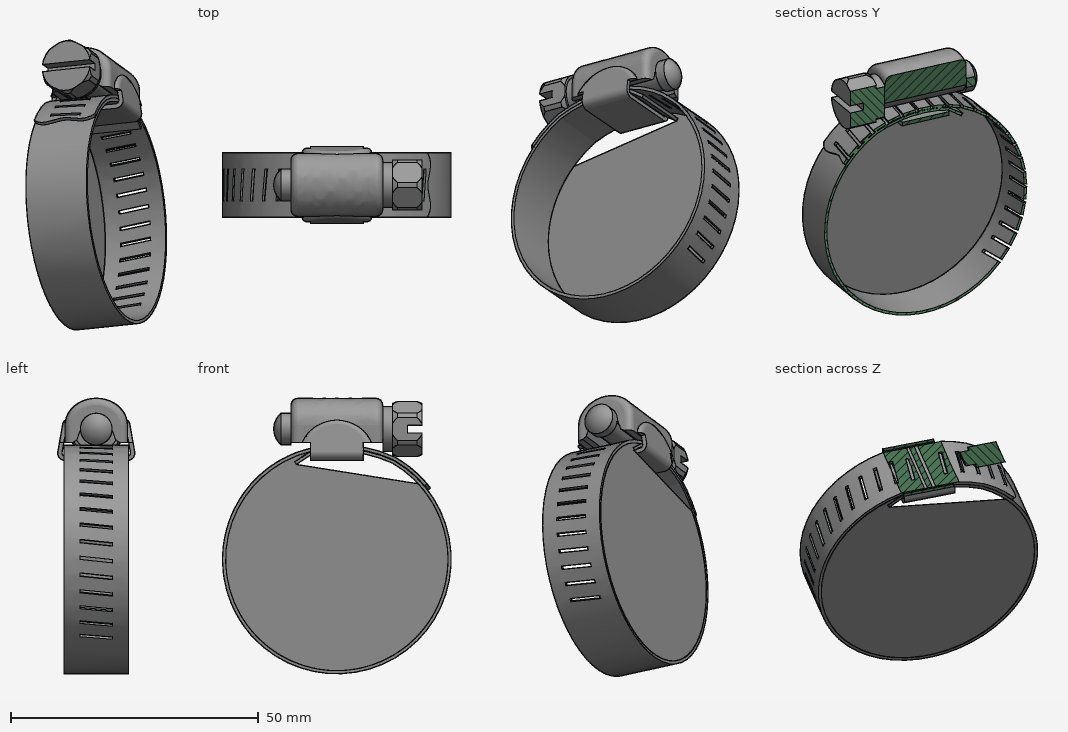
import cadquery as cq
import math


overall_height = 55.66
overall_width = 15.63

band_radius = 23.095
strip_thickness = 0.65
strip_width = 13.05
lap_gap = 0.03
lap_start_angle = 60.0
lap_end_angle = 103.8
outer_end_angle = 36.5
tail_tip = (-8.5, 19.75)

slot_pitch = 8.5
slot_first_angle = 222.5
slot_count = 22
slot_last_on_ring = 13
slot_lap_pitch = 8.72
slot_length = 6.5
slot_width = 0.66
slot_tilt = 6.0

end_wave_angle = 38.6
end_wave_peak = 0.54
end_wave_middle = -0.33
end_wave_side = -0.58
end_wave_peak_y = 4.2

web_thickness = 0.05
web_recess = 0.05
web_chord_angle = 43.0

worm_axis_z = 26.33
worm_tail_radius = 3.2
worm_core_radius = 2.7
worm_tail_x = -11.26
dome_height = 1.5
collar_radius = 4.56
collar_x = 9.28
head_x = 11.2
head_end_x = 17.22
head_across_flats = 10.15
head_corner_radius = 5.585
head_chamfer_length = 1.0
head_chamfer_depth = 0.42
driver_slot_width = 1.5
driver_slot_depth = 2.95

housing_length = 2 * collar_x
housing_half_width = 6.32
housing_bottom_z = 23.57
housing_spring_z = 27.08
housing_top_z = overall_height - band_radius
housing_end_fillet = 1.4
opening_top_half = 3.3
opening_top_z = 25.9
opening_mid_half = 3.95
opening_mid_z = 24.1
opening_bottom_half = 4.76

saddle_half_width = overall_width / 2
saddle_thickness = 0.92
saddle_bottom_z = 19.94
saddle_corner_radius = 1.6
saddle_top_z = 29.0
saddle_lean = 0.175
saddle_leg_half = 5.34
saddle_arch_half = 7.02
saddle_arch_top_z = 28.23
saddle_edge_fillet = 1.05


def polar(radius, angle):
    """Point in the XZ plane at an angle from +X."""
    a = math.radians(angle)
    return (radius * math.cos(a), radius * math.sin(a))


def lap_points(depth):
    """Right, top and left points of a lap surface that lies `depth` below the outer skin."""
    lifted_radius = band_radius + strip_thickness + lap_gap
    right = polar(lifted_radius - depth, lap_start_angle)
    top = (0, band_radius - depth)
    left = polar(band_radius - depth, lap_end_angle)
    return right, top, left


def xz_extrusion(sketch, width):
    """Extrude an XZ sketch symmetrically along Y."""
    return sketch.extrude(width / 2, both=True)


def tail_lower_corner():
    """Lower corner of the square-cut inner free end, as (x, z)."""
    lap_left = lap_points(strip_thickness + lap_gap)[2]
    tail_dx = tail_tip[0] - lap_left[0]
    tail_dz = tail_tip[1] - lap_left[1]
    tail_length = math.hypot(tail_dx, tail_dz)
    return (
        tail_tip[0] - strip_thickness * tail_dz / tail_length,
        tail_tip[1] + strip_thickness * tail_dx / tail_length,
    )


def make_strip():
    inner_radius = band_radius - strip_thickness
    lifted_inner = band_radius + lap_gap
    lifted_outer = lifted_inner + strip_thickness
    end_mid_angle = (outer_end_angle + lap_start_angle) / 2

    skin_right, skin_top, skin_left = lap_points(0)
    under_right, under_top, under_left = lap_points(strip_thickness)
    lap_right, lap_top, lap_left = lap_points(strip_thickness + lap_gap)
    base_right, base_top, base_left = lap_points(2 * strip_thickness + lap_gap)

    tail_lower = tail_lower_corner()

    outline = (
        cq.Workplane("XZ")
        .moveTo(*polar(lifted_outer, outer_end_angle))
        .threePointArc(polar(lifted_outer, end_mid_angle), skin_right)
        .threePointArc(skin_top, skin_left)
        .threePointArc((0, -band_radius), lap_right)
        .threePointArc(lap_top, lap_left)
        .lineTo(*tail_tip)
        .lineTo(*tail_lower)
        .lineTo(*base_left)
        .threePointArc(base_top, base_right)
        .threePointArc((0, -inner_radius), under_left)
        .threePointArc(under_top, under_right)
        .threePointArc(polar(lifted_inner, end_mid_angle), polar(lifted_inner, outer_end_angle))
        .close()
    )
    return xz_extrusion(outline, strip_width)


def radial_plane(radius, angle):
    """Plane whose normal points outward; local x runs clockwise, local y along +Y."""
    x, z = polar(radius, angle)
    a = math.radians(angle)
    return cq.Plane(
        origin=(x, 0, z),
        xDir=(math.sin(a), 0, -math.cos(a)),
        normal=(math.cos(a), 0, math.sin(a)),
    )


def make_slot_cutter(index):
    """Tilted slot through one strip layer, tall enough for the outer layer only."""
    ring_steps = min(index, slot_last_on_ring)
    lap_steps = index - ring_steps
    angle = slot_first_angle - ring_steps * slot_pitch - lap_steps * slot_lap_pitch
    lap_span = 90 - lap_start_angle
    rise = min(1, max(0, (90 - angle) / lap_span)) * (strip_thickness + lap_gap)
    floor_radius = band_radius + rise - strip_thickness - lap_gap / 2
    half = slot_length / 2
    shift = half * math.tan(math.radians(slot_tilt))
    w = slot_width / 2
    return (
        cq.Workplane(radial_plane(floor_radius, angle))
        .polyline([(-shift - w, -half), (-shift + w, -half), (shift + w, half), (shift - w, half)])
        .close()
        .extrude(2 * strip_thickness)
    )


def make_end_trimmer():
    """Removes the outer layer beyond its wavy free edge."""
    side_y = strip_width / 2
    beyond = 3.0
    return (
        cq.Workplane(radial_plane(band_radius, end_wave_angle))
        .moveTo(beyond, -side_y)
        .lineTo(end_wave_side, -side_y)
        .spline(
            [
                (end_wave_peak, -end_wave_peak_y),
                (end_wave_middle, 0),
                (end_wave_peak, end_wave_peak_y),
                (end_wave_side, side_y),
            ],
            includeCurrent=True,
        )
        .lineTo(beyond, side_y)
        .close()
        .extrude(2 * strip_thickness)
        .cut(cq.Workplane("XZ").circle(band_radius + lap_gap / 2).extrude(strip_width, both=True))
    )


def make_web():
    inner_radius = band_radius - strip_thickness
    web_back_y = -strip_width / 2 + web_recess + web_thickness
    outline = (
        cq.Workplane("XZ", origin=(0, web_back_y, 0))
        .moveTo(*polar(inner_radius, web_chord_angle))
        .lineTo(*tail_lower_corner())
        .lineTo(*tail_tip)
        .lineTo(*polar(inner_radius, lap_end_angle))
        .threePointArc((0, -inner_radius), polar(inner_radius, web_chord_angle))
        .close()
    )
    return outline.extrude(web_thickness)


def make_band():
    band = make_strip().cut(make_end_trimmer())
    for index in range(slot_count):
        band = band.cut(make_slot_cutter(index))
    return band.union(make_web())


def x_cylinder(radius, x_start, x_end):
    return (
        cq.Workplane("YZ", origin=(x_start, 0, worm_axis_z))
        .circle(radius)
        .extrude(x_end - x_start)
    )


def make_head():
    length = head_end_x - head_x
    hex_prism = (
        cq.Workplane("YZ", origin=(head_x, 0, worm_axis_z))
        .transformed(rotate=(0, 0, 90))
        .polygon(6, head_across_flats / math.cos(math.pi / 6))
        .extrude(length)
    )
    turned = x_cylinder(head_corner_radius, head_x, head_end_x)
    turned = turned.faces("<X or >X").chamfer(head_chamfer_length, head_chamfer_depth)
    driver_slot = cq.Workplane("XY", origin=(head_end_x, 0, worm_axis_z)).box(
        2 * driver_slot_depth, 2 * head_across_flats, driver_slot_width
    )
    return hex_prism.intersect(turned).cut(driver_slot)


def make_dome():
    half_profile = (
        cq.Workplane("XZ")
        .moveTo(worm_tail_x, worm_axis_z)
        .lineTo(worm_tail_x, worm_axis_z + worm_tail_radius)
    )
    sphere_radius = (worm_tail_radius**2 + dome_height**2) / (2 * dome_height)
    half_angle = math.asin(worm_tail_radius / sphere_radius) / 2
    centre_x = worm_tail_x - dome_height + sphere_radius
    middle = (
        centre_x - sphere_radius * math.cos(half_angle),
        worm_axis_z + sphere_radius * math.sin(half_angle),
    )
    return (
        half_profile.threePointArc(middle, (worm_tail_x - dome_height, worm_axis_z))
        .close()
        .revolve(360, (0, worm_axis_z, 0), (1, worm_axis_z, 0))
    )


def make_worm():
    tail = x_cylinder(worm_tail_radius, worm_tail_x, -collar_x)
    core = x_cylinder(worm_core_radius, -collar_x, collar_x)
    collar = x_cylinder(collar_radius, collar_x, head_x)
    return core.union(tail).union(make_dome()).union(collar).union(make_head())


def make_housing_shell():
    """Arched block with rounded ends and a worm bore that opens downward."""
    block = (
        cq.Workplane("YZ", origin=(-housing_length / 2, 0, 0))
        .moveTo(-housing_half_width, housing_bottom_z)
        .lineTo(housing_half_width, housing_bottom_z)
        .lineTo(housing_half_width, housing_spring_z)
        .ellipseArc(
            housing_half_width, housing_top_z - housing_spring_z, 0, 180, startAtCurrent=True
        )
        .close()
        .extrude(housing_length)
    )
    block = block.faces("<X or >X").edges("not(<Z)").fillet(housing_end_fillet)
    opening = (
        cq.Workplane("YZ")
        .polyline(
            [
                (-opening_top_half, opening_top_z),
                (-opening_mid_half, opening_mid_z),
                (-opening_bottom_half, housing_bottom_z),
                (opening_bottom_half, housing_bottom_z),
                (opening_mid_half, opening_mid_z),
                (opening_top_half, opening_top_z),
            ]
        )
        .close()
        .extrude(housing_length, both=True)
    )
    bore = x_cylinder(worm_core_radius, -housing_length, housing_length)
    return block.cut(opening).cut(bore)


def saddle_section(inset):
    """Solid cup with rounded lower corners and sides leaning inward, inset from the outer skin."""
    radius = saddle_corner_radius - inset
    half_width = saddle_half_width - inset
    bottom_z = saddle_bottom_z + inset
    corner_z = bottom_z + radius
    flat_half = half_width - radius
    top_half = half_width - saddle_lean * (saddle_top_z - corner_z)
    return (
        cq.Workplane("YZ", origin=(-housing_length / 2, 0, 0))
        .moveTo(-flat_half, bottom_z)
        .lineTo(flat_half, bottom_z)
        .radiusArc((half_width, corner_z), -radius)
        .lineTo(top_half, saddle_top_z)
        .lineTo(-top_half, saddle_top_z)
        .lineTo(-half_width, corner_z)
        .radiusArc((-flat_half, bottom_z), -radius)
        .close()
        .extrude(housing_length)
    )


def make_saddle():
    """U strap under the band whose sides end in arches against the housing."""
    strap = saddle_section(0).cut(saddle_section(saddle_thickness))
    outline = (
        cq.Workplane("XZ")
        .moveTo(-saddle_leg_half, saddle_bottom_z)
        .lineTo(saddle_leg_half, saddle_bottom_z)
        .lineTo(saddle_leg_half, housing_bottom_z)
        .lineTo(saddle_arch_half, housing_bottom_z)
        .threePointArc((0, saddle_arch_top_z), (-saddle_arch_half, housing_bottom_z))
        .lineTo(-saddle_leg_half, housing_bottom_z)
        .close()
    )
    strap = strap.intersect(xz_extrusion(outline, 3 * saddle_half_width))
    outer = strap.edges("%ELLIPSE").edges(">Y or <Y")
    return outer.fillet(saddle_edge_fillet)


band = make_band()
worm = make_worm()
housing = make_housing_shell().union(make_saddle())
result = cq.Compound.makeCompound(
    [*band.solids().vals(), *worm.solids().vals(), *housing.solids().vals()]
)